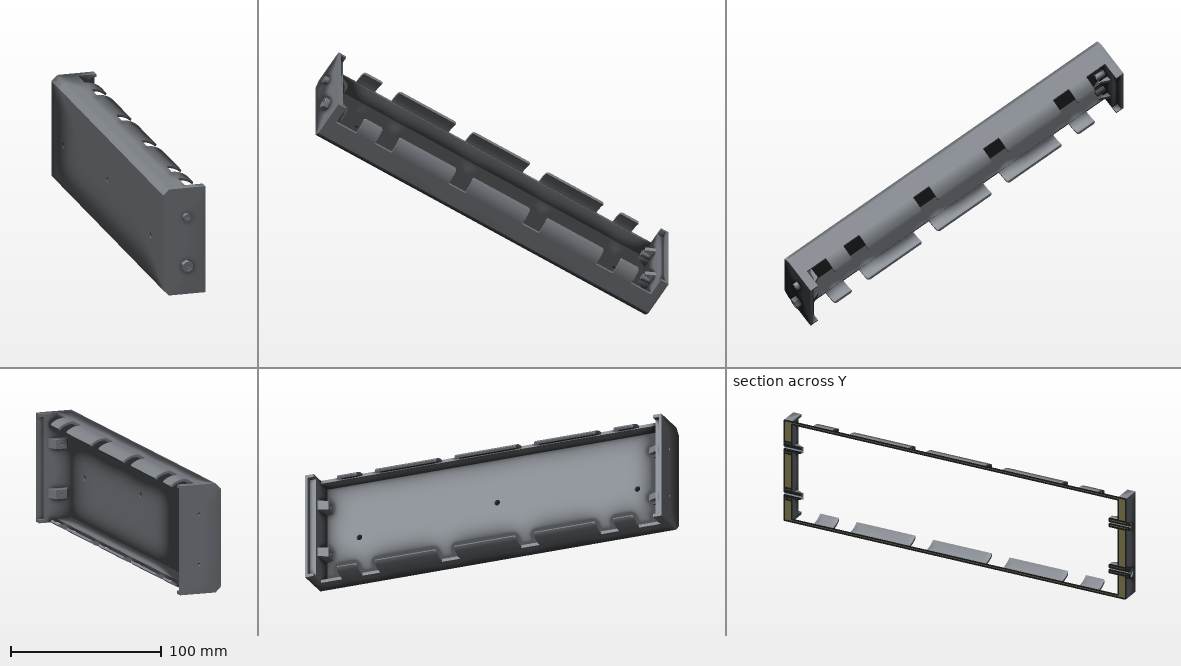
import cadquery as cq
import math

LENGTH = 256.8
DEPTH = 29.2
HEIGHT = 73.8
FRONT_CHAMFER = 4.0
END_WALL = 6.0
FRONT_WALL = 6.0
RIM_WALL = 2.0
RIM_DEPTH = 16.7
LEDGE = 4.2

MOUNT_HOLE_DIAMETER = 4.0
MOUNT_HOLES = [(-101.1, -3.6), (0, 4.2), (99.3, -3.6)]

CLIP_START = RIM_DEPTH + 0.5
CLIP_REACH = 10.5
CLIP_RADIUS = 15.0
CLIP_THICKNESS = 1.5
CLIP_CORNER = 1.8
WIDE_CLIP = 44.3
NARROW_CLIP = 14.3
CLIP_PITCH = 57.4

CONNECTOR_Y = 16.0
CONNECTOR_Z = 17.0

BOSS_LENGTH = 6.8
BOSS_ROOT_WIDTH = 14.0
BOSS_TIP_WIDTH = 7.8
BOSS_HALF_HEIGHT = 3.0
CRADLE_TOP = 1.0

SLEEVE_DIAMETER = 8.0
SLEEVE_LENGTH = END_WALL
CORE_DIAMETER = 4.2
CORE_BORE = 2.0
CORE_LENGTH = END_WALL + BOSS_LENGTH

PLUG_DIAMETER = 5.2
PLUG_BORE = 1.5
PLUG_REACH = 3.0
NUT_ACROSS_FLATS = 7.0
NUT_THICKNESS = 4.0
NUT_CHAMFER = 0.5

HALF_LENGTH = LENGTH / 2
HALF_HEIGHT = HEIGHT / 2
INNER_X = HALF_LENGTH - END_WALL
INNER_Z = HALF_HEIGHT - RIM_WALL
CONNECTOR_HEIGHTS = (-CONNECTOR_Z, CONNECTOR_Z)


def block(half_length, y_start, y_end, half_height):
    """Box centred in X and Z, between two depths."""
    size_y = y_end - y_start
    return (
        cq.Workplane("XY")
        .box(2 * half_length, size_y, 2 * half_height)
        .translate((0, y_start + size_y / 2, 0))
    )


def rod(diameter, x_start, x_end, z):
    """Cylinder along a connector axis."""
    return (
        cq.Workplane("YZ", origin=(x_start, CONNECTOR_Y, z))
        .circle(diameter / 2)
        .extrude(x_end - x_start)
    )


def tube(diameter, bore, x_start, x_end, z):
    return rod(diameter, x_start, x_end, z).cut(rod(bore, x_start, x_end, z))


def make_clip(x, width):
    """Curved strip on the top wall that bends inward towards its rounded tip."""
    axis_z = HALF_HEIGHT - CLIP_RADIUS
    inner_radius = CLIP_RADIUS - CLIP_THICKNESS
    sweep = math.asin(CLIP_REACH / CLIP_RADIUS)

    def on_arc(radius, angle):
        return CLIP_START + radius * math.sin(angle), axis_z + radius * math.cos(angle)

    strip = (
        cq.Workplane("YZ", origin=(x - width / 2, 0, 0))
        .moveTo(RIM_DEPTH, HALF_HEIGHT)
        .lineTo(*on_arc(CLIP_RADIUS, 0))
        .threePointArc(on_arc(CLIP_RADIUS, sweep / 2), on_arc(CLIP_RADIUS, sweep))
        .lineTo(*on_arc(inner_radius, sweep))
        .threePointArc(on_arc(inner_radius, sweep / 2), on_arc(inner_radius, 0))
        .lineTo(RIM_DEPTH, HALF_HEIGHT - CLIP_THICKNESS)
        .close()
        .extrude(width)
    )
    tip_y = CLIP_START + CLIP_REACH
    rounded_outline = (
        cq.Workplane("XY")
        .rect(width, 2 * tip_y)
        .extrude(HALF_HEIGHT)
        .edges("|Z")
        .fillet(CLIP_CORNER)
        .translate((x, 0, 0))
    )
    return strip.intersect(rounded_outline)


def make_boss(side, z, top):
    """Tapered boss on an end wall; side is -1 or 1, and top is measured from the connector axis."""
    root_x = side * INNER_X
    tip_x = side * (INNER_X - BOSS_LENGTH)
    return (
        cq.Workplane("XY", origin=(0, CONNECTOR_Y, z - BOSS_HALF_HEIGHT))
        .moveTo(root_x, -BOSS_ROOT_WIDTH / 2)
        .lineTo(root_x, BOSS_ROOT_WIDTH / 2)
        .lineTo(tip_x, BOSS_TIP_WIDTH / 2)
        .lineTo(tip_x, -BOSS_TIP_WIDTH / 2)
        .close()
        .extrude(BOSS_HALF_HEIGHT + top)
    )


def make_shell():
    """Box with a chamfered front, an open back and end walls deeper than the rim."""
    shell = block(HALF_LENGTH, 0, DEPTH, HALF_HEIGHT).faces("<Y").edges("|X").chamfer(FRONT_CHAMFER)
    shell = shell.cut(block(INNER_X, FRONT_WALL, DEPTH, INNER_Z))
    shell = shell.cut(block(INNER_X, RIM_DEPTH, DEPTH, HALF_HEIGHT))
    shell = shell.cut(block(INNER_X + LEDGE, DEPTH - LEDGE, DEPTH, INNER_Z))
    mount_holes = (
        cq.Workplane("XZ")
        .pushPoints(MOUNT_HOLES)
        .circle(MOUNT_HOLE_DIAMETER / 2)
        .extrude(-FRONT_WALL)
    )
    return shell.cut(mount_holes)


def add_clips(body):
    clip_gap = CLIP_PITCH - WIDE_CLIP
    narrow_x = CLIP_PITCH + WIDE_CLIP / 2 + clip_gap + NARROW_CLIP / 2
    clips = [(x, WIDE_CLIP) for x in (-CLIP_PITCH, 0, CLIP_PITCH)]
    clips += [(x, NARROW_CLIP) for x in (-narrow_x, narrow_x)]
    for x, width in clips:
        clip = make_clip(x, width)
        body = body.union(clip).union(clip.mirror("XY"))
    return body


def add_connector_mounts(body):
    """Bosses, with a bore for each socket at -X and for each plug at +X."""
    for z in CONNECTOR_HEIGHTS:
        body = body.union(make_boss(-1, z, CRADLE_TOP))
        body = body.union(make_boss(1, z, BOSS_HALF_HEIGHT))
        body = body.cut(rod(SLEEVE_DIAMETER, -HALF_LENGTH, BOSS_LENGTH - INNER_X, z))
        body = body.cut(rod(PLUG_DIAMETER, INNER_X - BOSS_LENGTH, HALF_LENGTH, z))
    return body


def make_housing():
    return add_connector_mounts(add_clips(make_shell()))


def make_sleeve(z):
    return tube(SLEEVE_DIAMETER, CORE_DIAMETER, -HALF_LENGTH, SLEEVE_LENGTH - HALF_LENGTH, z)


def make_core(z):
    return tube(CORE_DIAMETER, CORE_BORE, -HALF_LENGTH, CORE_LENGTH - HALF_LENGTH, z)


def make_plug(z):
    return tube(PLUG_DIAMETER, PLUG_BORE, INNER_X - BOSS_LENGTH, HALF_LENGTH + PLUG_REACH, z)


def make_nut(z):
    """Hexagon nut against the +X end face, flats to front and back, outer corners chamfered."""
    across_corners = NUT_ACROSS_FLATS / math.cos(math.pi / 6)
    outer_x = HALF_LENGTH + NUT_THICKNESS
    hexagon = (
        cq.Workplane("YZ", origin=(HALF_LENGTH, CONNECTOR_Y, z))
        .transformed(rotate=(0, 0, 90))
        .polygon(6, across_corners)
        .extrude(NUT_THICKNESS)
    )
    chamfered_round = rod(across_corners, HALF_LENGTH, outer_x, z).faces(">X").chamfer(NUT_CHAMFER)
    return hexagon.intersect(chamfered_round).cut(rod(PLUG_DIAMETER, HALF_LENGTH, outer_x, z))


housing = make_housing().solids()
sleeves = [make_sleeve(z).val() for z in CONNECTOR_HEIGHTS]
cores = [make_core(z).val() for z in CONNECTOR_HEIGHTS]
plugs = [make_plug(z).val() for z in CONNECTOR_HEIGHTS]
nut = make_nut(-CONNECTOR_Z)

result = cq.Compound.makeCompound([housing.val(), *sleeves, *cores, *plugs, nut.val()])